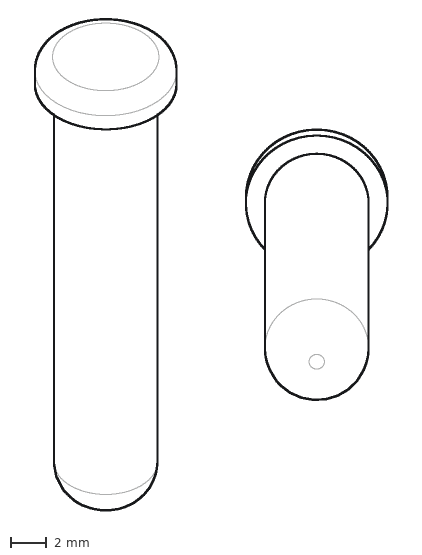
import cadquery as cq

total_length = 32.0
head_diameter = 8.0
head_height = head_diameter / 4
head_rounding = head_height / 2
shank_diameter = 5.85
tip_rounding = 2.5

shank_length = total_length - head_height


def make_shank():
    """Round shank along Z, from the origin up, with a rounded lower end."""
    return (
        cq.Workplane("XY")
        .circle(shank_diameter / 2)
        .extrude(shank_length)
        .faces("<Z")
        .edges()
        .fillet(tip_rounding)
    )


def make_head():
    """Disc seated on top of the shank, with its upper edge rounded."""
    return (
        cq.Workplane("XY")
        .workplane(offset=shank_length)
        .circle(head_diameter / 2)
        .extrude(head_height)
        .faces(">Z")
        .edges()
        .fillet(head_rounding)
    )


shank = make_shank()
head = make_head()
result = cq.Compound.makeCompound([shank.val(), head.val()])